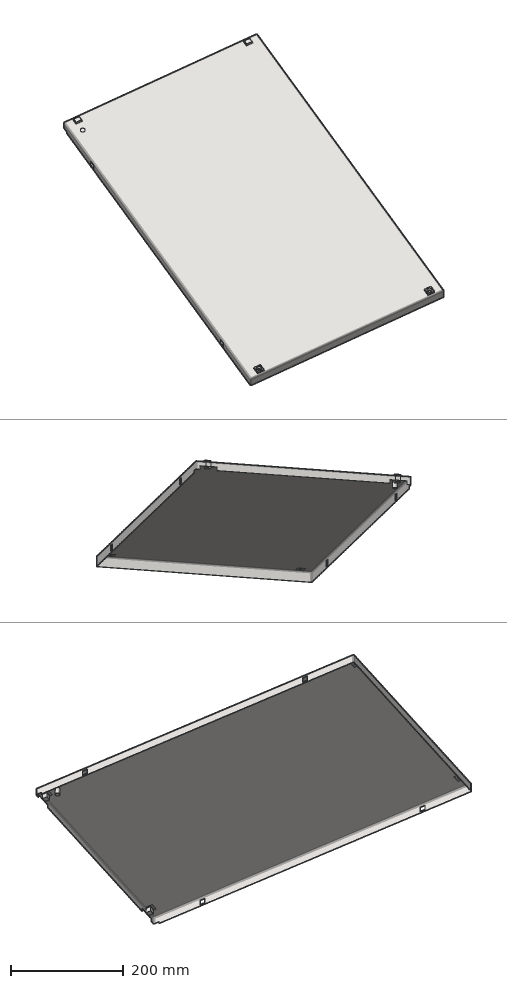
import cadquery as cq
import math

LENGTH = 665.0
WIDTH = 398.0
TRAY_HEIGHT = 20.0
TOTAL_HEIGHT = 23.0
SHEET = 1.0
BEND_RADIUS = 2.3

STEP_LENGTH = 11.0
STEP_HEIGHT = 4.0

NOTCH_WIDTH = 31.0
NOTCH_TOP = 10.5

WALL_HOLE = 10.0
WALL_HOLE_X = 230.0
WALL_HOLE_Z = 8.5

CORNER_Y = 175.0
PEG_X = -322.5
PEG_BASE_X = 11.0
PEG_BASE_Y = 13.0
PEG_DRAFT = 20.0
LEG_WIDTH = 9.0
LEG_INSET = 2.0
LEG_BOTTOM = 8.5
SOCKET_X = 321.0
SOCKET_BASE_X = 13.0
SOCKET_BASE_Y = 14.0
SOCKET_DRAFT = 8.5
MOUTH_DIAMETER = 8.5
MOUTH_DRAFT = 30.0

STUD_X = -300.0
STUD_Y = -177.5
STUD_DIAMETER = 8.5
STUD_BOTTOM = 4.5
STUD_CHAMFER = 0.5

SHEET_UNDERSIDE = TRAY_HEIGHT - SHEET
CAP_HEIGHT = TOTAL_HEIGHT - TRAY_HEIGHT
BORE_DIAMETER = MOUTH_DIAMETER - 2 * CAP_HEIGHT * math.tan(math.radians(MOUTH_DRAFT))
LEG_X = -LENGTH / 2 + LEG_INSET + LEG_WIDTH / 2


def block(size_x, size_y, z_bottom, z_top, x=0.0, y=0.0):
    """Upright block centred on (x, y)."""
    outline = cq.Workplane("XY", origin=(x, y, z_bottom)).rect(size_x, size_y)
    return outline.extrude(z_top - z_bottom)


def rounded_block(size_x, size_y, height, radius):
    """Block standing on z = 0 with rounded upright and top edges."""
    return block(size_x, size_y, 0, height).edges("|Z or >Z").fillet(radius)


def peg_leg(y):
    """Square leg of a peg, reaching down through the sheet."""
    return block(LEG_WIDTH, LEG_WIDTH, LEG_BOTTOM, TRAY_HEIGHT, LEG_X, y)


def make_tray():
    """Folded sheet with skirt step, wall holes, notches, peg seats and socket bores."""
    outer = rounded_block(LENGTH, WIDTH, TRAY_HEIGHT, BEND_RADIUS)
    inner = rounded_block(
        LENGTH - 2 * SHEET, WIDTH - 2 * SHEET, SHEET_UNDERSIDE, BEND_RADIUS - SHEET
    )
    tray = outer.cut(inner)
    tray = tray.cut(block(2 * STEP_LENGTH, WIDTH, 0, STEP_HEIGHT, -LENGTH / 2))
    hole_bottom = WALL_HOLE_Z - WALL_HOLE / 2
    for x in (-WALL_HOLE_X, WALL_HOLE_X):
        tray = tray.cut(block(WALL_HOLE, WIDTH, hole_bottom, hole_bottom + WALL_HOLE, x))
    for y in (-CORNER_Y, CORNER_Y):
        tray = tray.cut(block(2 * LEG_INSET, NOTCH_WIDTH, 0, NOTCH_TOP, -LENGTH / 2, y))
        tray = tray.cut(peg_leg(y))
        bore_centre = cq.Workplane("XY", origin=(SOCKET_X, y, SHEET_UNDERSIDE))
        tray = tray.cut(bore_centre.circle(BORE_DIAMETER / 2).extrude(SHEET))
    return tray


def make_peg(y):
    """Tapered peg standing on the sheet, held by a leg set into it."""
    cap = (
        cq.Workplane("XY", origin=(PEG_X, y, TRAY_HEIGHT))
        .rect(PEG_BASE_X, PEG_BASE_Y)
        .extrude(CAP_HEIGHT, taper=PEG_DRAFT)
    )
    return cap.union(peg_leg(y))


def make_socket(y):
    """Tapered collar standing on the sheet, with a conical mouth that runs right through it."""
    collar = (
        cq.Workplane("XY", origin=(SOCKET_X, y, TRAY_HEIGHT))
        .rect(SOCKET_BASE_X, SOCKET_BASE_Y)
        .extrude(CAP_HEIGHT, taper=SOCKET_DRAFT)
    )
    mouth = (
        cq.Workplane("XY", origin=(SOCKET_X, y, TOTAL_HEIGHT))
        .circle(MOUTH_DIAMETER / 2)
        .extrude(-CAP_HEIGHT, taper=MOUTH_DRAFT)
    )
    return collar.cut(mouth)


def make_stud():
    """Round stud under the sheet, chamfered at its free end."""
    root = cq.Workplane("XY", origin=(STUD_X, STUD_Y, STUD_BOTTOM))
    stud = root.circle(STUD_DIAMETER / 2).extrude(SHEET_UNDERSIDE - STUD_BOTTOM)
    return stud.faces("<Z").chamfer(STUD_CHAMFER)


tray = make_tray()
pegs = [make_peg(y) for y in (-CORNER_Y, CORNER_Y)]
sockets = [make_socket(y) for y in (-CORNER_Y, CORNER_Y)]
stud = make_stud()

result = cq.Compound.makeCompound([body.val() for body in (tray, *pegs, *sockets, stud)])